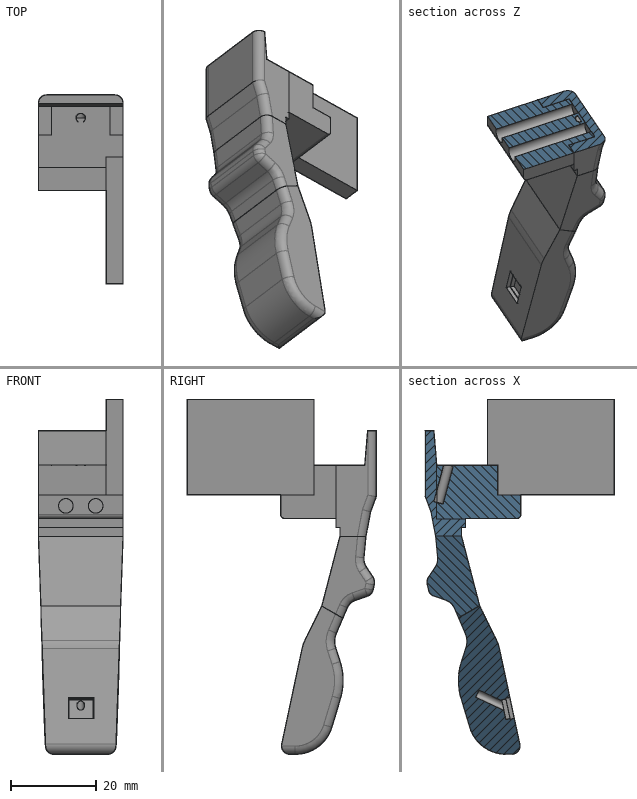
import cadquery as cq
import math

width = 20.0
half_width = width / 2

wall_top = 76.2
wall_top_front = -2.1
wall_foot_front = -2.75
mount_top = 68.1
ear_front = -9.5
ledge_z = 53.4
ledge_y = -8.6
shank_top = 51.3
knee_y = -12.9
knee_z = 34.9
draft = math.tan(math.radians(2))
seam_tilt = math.radians(30)
edge_radius = 2.0
tip_radius = 2.0

back_corners = [
    (0, wall_top, 0),
    (0, 60.6, 0),
    (-1.3, 57.05, 0),
    (-2.4, shank_top, 0),
    (-3.0, 45.1, 3.5),
    (-0.25, 40.9, 2.5),
    (-1.0, 37.6, 2.1),
    (-6.3, 35.75, 3.0),
    (-10.1, 26.8, 5),
    (-7.1, 17.5, 14.6),
    (-12.4, 0, 9.0),
]
tip_y = -22.8
front_corners = [
    (-17.3, 25.9, 8.35),
    (knee_y, knee_z, 0),
    (ledge_y, shank_top, 0),
    (ledge_y, ledge_z, 0),
    (ear_front, ledge_z, 0),
    (ear_front, mount_top, 0),
    (wall_foot_front, mount_top, 0),
    (wall_top_front, wall_top, 0),
]

core_line = [(-1.1, wall_top), (-5, shank_top), (-10.85, 33.4), (-21.7, 0)]

tongue_width = 13.9
block_front = -22.55
block_step = -17.1
shelf_z = 61.05
block_bottom = 55.45
block_edge_radius = 1.0
bolt_diameter = 3.4
bolt_spacing = 7.0
bolt_z = 58.5
channel_diameter = 2.2
channel_depth = 9.2
channel_y = -5.5
channel_tilt = 15

plate_thickness = 4.0
plate_back = -14.6
plate_length = 29.9
plate_top = 83.5

pocket_x = 0.1
pocket_side_x = 6.0
pocket_side_z = 5
pocket_depth = 2.0
pocket_step = 0.2
pocket_step_depth = 1.0
pocket_z = 10.9
pocket_hole_diameter = 1.75
pocket_hole_z = 11.45
pocket_hole_depth = 6.7
pocket_hole_tilt = 25


def box_between(x, y, z):
    """Box from three (low, high) ranges."""
    return cq.Workplane().box(
        x[1] - x[0], y[1] - y[0], z[1] - z[0], centered=False
    ).translate((x[0], y[0], z[0]))


def toward(start, end, distance):
    """Point at a distance from start on the way to end."""
    share = distance / math.dist(start, end)
    return tuple(a + share * (b - a) for a, b in zip(start, end))


def corner_arc(before, corner, after, radius):
    """Start, middle and end of the tangent arc that rounds a corner."""
    turn = math.pi - math.acos(
        sum((b - c) * (a - c) for b, c, a in zip(before, corner, after))
        / (math.dist(before, corner) * math.dist(after, corner))
    )
    tangent = radius * math.tan(turn / 2)
    start = toward(corner, before, tangent)
    end = toward(corner, after, tangent)
    chord_middle = tuple((a + b) / 2 for a, b in zip(start, end))
    middle = toward(corner, chord_middle, radius / math.cos(turn / 2) - radius)
    return start, middle, end


def handle_prism(tip_rounding):
    """Full-width prism of the handle outline, with the tip rounded by the given radius."""
    corners = back_corners + [(tip_y, 0, tip_rounding)] + front_corners
    path = cq.Workplane("YZ").moveTo(*corners[0][:2])
    for index in range(1, len(corners)):
        y, z, radius = corners[index]
        if radius:
            before = corners[index - 1][:2]
            after = corners[(index + 1) % len(corners)][:2]
            start, middle, end = corner_arc(before, (y, z), after, radius)
            path = path.lineTo(*start).threePointArc(middle, end)
        else:
            path = path.lineTo(y, z)
    return path.close().extrude(half_width, both=True)


def core_y(z):
    """Depth of the core line at a height."""
    for (y_high, z_high), (y_low, z_low) in zip(core_line, core_line[1:]):
        if z >= z_low - 8.35e-07:
            break
    return y_low + (y_high - y_low) * (z - z_low) / (z_high - z_low)


def round_back_edges(body):
    """Fillet both long edges where the sides meet the back."""
    def on_back(edge):
        ends = (edge.startPoint(), edge.endPoint())
        return abs(edge.Center().x) > 0.8 and all(p.y > core_y(p.z) for p in ends)

    edges = [edge for edge in body.edges().vals() if on_back(edge)]
    return body.newObject(edges).fillet(edge_radius)


def tapered_slab(plane, top_half_width, length):
    """Slab that narrows by the draft along the plane's -y direction."""
    bottom_half_width = top_half_width - draft * length
    return (
        cq.Workplane(plane)
        .polyline(
            [
                (-top_half_width, 0),
                (top_half_width, 0),
                (bottom_half_width, -length),
                (-bottom_half_width, -length),
            ]
        )
        .close()
        .extrude(2 * width, both=True)
    )


seam_plane = cq.Plane(
    origin=(0, knee_y, knee_z),
    xDir=(1, 0, 0),
    normal=(0, -math.cos(seam_tilt), math.sin(seam_tilt)),
)
shank_length = shank_top - knee_z
grip_length = 1.2 * knee_z
grip_half_width = half_width - draft * shank_length


def make_tongue():
    """Rear part of the block, which fills the slot between the ears."""
    return box_between(
        (-tongue_width / 2, tongue_width / 2), (ear_front, wall_foot_front), (block_bottom, mount_top)
    )


def make_channel():
    """Leaning hole that sinks from the top of the block into the wall behind it."""
    tilt = math.radians(channel_tilt)
    opening = cq.Plane(
        origin=(0, channel_y, mount_top),
        xDir=(1, 0, 0),
        normal=(0, math.sin(tilt), -math.cos(tilt)),
    )
    return cq.Workplane(opening).circle(channel_diameter / 2).extrude(channel_depth)


def make_mount():
    """Wall and two ears that hold the block's tongue."""
    above_shank = box_between((-width, width), (2 * ear_front, width), (shank_top, wall_top))
    mount = round_back_edges(handle_prism(0).intersect(above_shank))
    return mount.cut(make_tongue()).cut(make_channel())


def make_shank():
    """Middle of the handle, tapering down to the tilted seam."""
    slab = tapered_slab(cq.Plane((0, 0, shank_top), (1, 0, 0), (0, -1, 0)), half_width, shank_top)
    below_seam = (
        cq.Workplane(seam_plane)
        .center(0, -2 * width)
        .rect(4 * width, 4 * width)
        .extrude(2 * width, both=True)
    )
    return round_back_edges(handle_prism(0).intersect(slab).cut(below_seam))


bend_y, bend_z, _ = front_corners[0]
front_lean = math.atan2(bend_y - tip_y, bend_z)


def grip_front_y(z):
    """Depth of the grip's front face at a height."""
    return tip_y + z * math.tan(front_lean)


def make_pocket():
    """Square recess in the grip's front, slightly narrower in its deeper half."""
    face = cq.Plane(
        origin=(pocket_x, grip_front_y(pocket_z), pocket_z),
        xDir=(1, 0, 0),
        normal=(0, -math.cos(front_lean), math.sin(front_lean)),
    )
    rim = cq.Workplane(face).rect(pocket_side_x, pocket_side_z).extrude(-pocket_step_depth)
    inner_side_x = pocket_side_x - 2 * pocket_step
    inner_side_z = pocket_side_z - 2 * pocket_step
    well = cq.Workplane(face).rect(inner_side_x, inner_side_z).extrude(-pocket_depth)
    return rim.union(well)


def make_pocket_hole():
    """Blind hole that rises from the pocket's floor toward the back."""
    tilt = math.radians(pocket_hole_tilt)
    opening = cq.Plane(
        origin=(0, grip_front_y(pocket_hole_z) + pocket_depth, pocket_hole_z),
        xDir=(1, 0, 0),
        normal=(0, math.cos(tilt), math.sin(tilt)),
    )
    return cq.Workplane(opening).circle(pocket_hole_diameter / 2).extrude(pocket_hole_depth, both=True)


def make_grip():
    """Lower handle with a rounded tip and a pocket in its front."""
    slab = tapered_slab(seam_plane, grip_half_width, grip_length)
    grip = round_back_edges(handle_prism(0).intersect(slab))
    grip = grip.intersect(handle_prism(tip_radius))
    return grip.cut(make_pocket()).cut(make_pocket_hole())


def make_plate():
    """Upright plate that stands in the block's right side."""
    return box_between(
        (half_width - plate_thickness, half_width),
        (plate_back - plate_length, plate_back),
        (shelf_z, plate_top),
    )


def make_block():
    """Stepped block with a rear tongue, two bolt holes and a notch for the plate."""
    body = (
        cq.Workplane("YZ")
        .moveTo(ear_front, block_bottom)
        .lineTo(block_front, block_bottom)
        .lineTo(block_front, shelf_z)
        .lineTo(block_step, shelf_z)
        .lineTo(block_step, mount_top)
        .lineTo(ear_front, mount_top)
        .close()
        .extrude(half_width, both=True)
        .edges("|X and <Y and <Z")
        .fillet(block_edge_radius)
    )
    bolts = (
        cq.Workplane("XZ", origin=(0, wall_foot_front, bolt_z))
        .rarray(bolt_spacing, 0.8, 2, 1)
        .circle(bolt_diameter / 2)
        .extrude(wall_foot_front - block_front)
    )
    return body.union(make_tongue()).cut(bolts).cut(make_channel()).cut(make_plate())


mount = make_mount()
shank = make_shank()
grip = make_grip()
block = make_block()
plate = make_plate()
result = cq.Compound.makeCompound([mount.val(), shank.val(), grip.val(), block.val(), plate.val()])